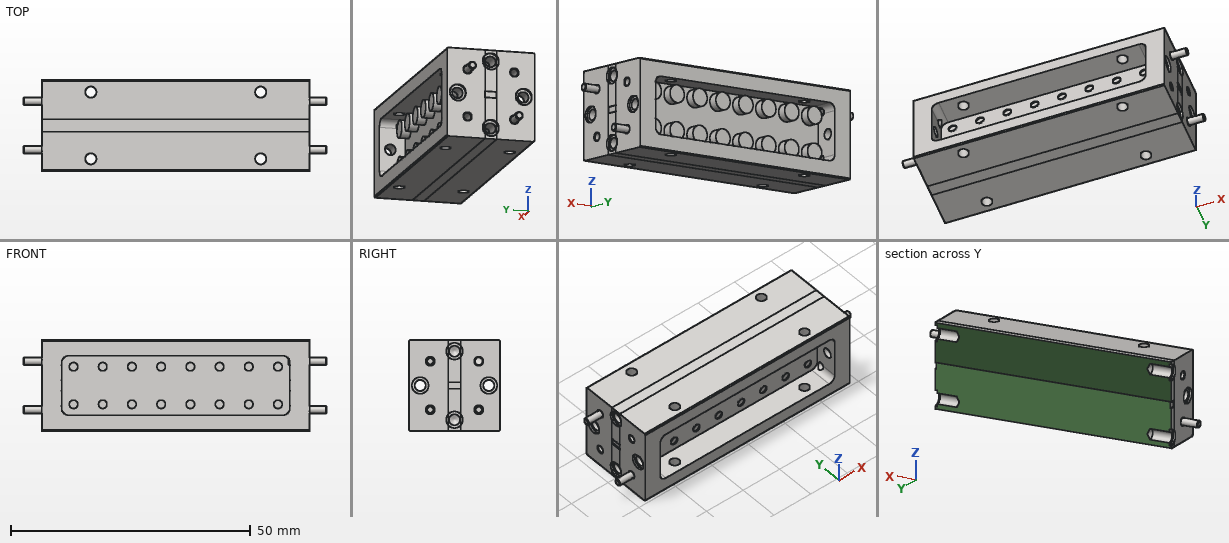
import cadquery as cq

BODY_LENGTH = 55.95
BODY_SIDE = 19.1
SHIM_THICKNESS = 2.55
EDGE_CHAMFER = 0.25
HALF_LENGTH = BODY_LENGTH / 2
HALF_SIDE = BODY_SIDE / 2

PORT_HEIGHT = 1.3
PORT_DEPTH = 0.25

POCKET_LENGTH = 47.7
POCKET_HEIGHT = 12.4
POCKET_DEPTH = 5.65
POCKET_CORNER_RADIUS = 1.5
POCKET_FLOOR = HALF_SIDE - POCKET_DEPTH
END_WALL = (BODY_LENGTH - POCKET_LENGTH) / 2

SCREW_COUNT = 8
SCREW_ROW_LENGTH = 42.7
SCREW_PITCH = SCREW_ROW_LENGTH / (SCREW_COUNT - 1)
SCREW_ROW_HEIGHT = 3.9
SCREW_BOSS_DIAMETER = 3.8
SCREW_BOSS_HEIGHT = 2.0
SCREW_HOLE_DIAMETER = 1.8
SCREW_HOLE_DEPTH = 0.25

MOUNT_HOLE_DIAMETER = 2.3
MOUNT_HOLE_X = 17.75
MOUNT_HOLE_Y = 7.0

FLANGE_HOLE_DIAMETER = 2.3
FLANGE_HOLE_OFFSET = 7.15
FLANGE_HOLE_DEPTH = 5.1
FLANGE_TIP_DEPTH = 0.65
FLANGE_RECESS_DIAMETER = 3.5
FLANGE_RECESS_DEPTH = 0.5

PIN_DIAMETER = 1.6
PIN_LENGTH = 8.0
PIN_CHAMFER = 0.16
PIN_OFFSET = 5.1
PIN_HOLE_CHAMFER = 0.16
LEFT_PIN_PROJECTION = 3.85
RIGHT_PIN_PROJECTION = 3.55

SIGNS = (-1, 1)


def box_between(x_range, y_range, z_range):
    """Axis-aligned box given by its low and high limit on each axis."""
    lows, highs = zip(x_range, y_range, z_range)
    size = [high - low for low, high in zip(lows, highs)]
    return cq.Workplane("XY").box(*size, centered=False).translate(lows)


def round_bar(x, y, z, diameter, length, direction):
    """Solid cylinder that starts at (x, y, z) and runs along the direction."""
    start = cq.Vector(x, y, z)
    return cq.Workplane(cq.Solid.makeCylinder(diameter / 2, length, start, cq.Vector(*direction)))


def cone_bar(x, y, z, start_diameter, end_diameter, length, direction):
    """Solid cone frustum that starts at (x, y, z) and runs along the direction."""
    start = cq.Vector(x, y, z)
    axis = cq.Vector(*direction)
    return cq.Workplane(cq.Solid.makeCone(start_diameter / 2, end_diameter / 2, length, start, axis))


def flange_hole(end, y, z):
    """Cutter for one drilled flange hole with a conical tip and a shallow recess around its mouth."""
    mouth = end * HALF_LENGTH
    inward = (-end, 0, 0)
    bore = round_bar(mouth, y, z, FLANGE_HOLE_DIAMETER, FLANGE_HOLE_DEPTH, inward)
    tip_start = mouth - end * FLANGE_HOLE_DEPTH
    tip = cone_bar(tip_start, y, z, FLANGE_HOLE_DIAMETER, 0, FLANGE_TIP_DEPTH, inward)
    recess = round_bar(mouth, y, z, FLANGE_RECESS_DIAMETER, FLANGE_RECESS_DEPTH, inward)
    return bore.union(tip).union(recess)


def cut_middle_flange_holes(body):
    """Flange holes centred on the shim, above and below the waveguide port."""
    for end in SIGNS:
        for level in SIGNS:
            body = body.cut(flange_hole(end, 0, level * FLANGE_HOLE_OFFSET))
    return body


def pin_hole(end, y, z):
    """Cutter for a pin hole, chamfered at its mouth, from the end face past the corner round of the pocket."""
    mouth = end * HALF_LENGTH
    inward = (-end, 0, 0)
    bore = round_bar(mouth, y, z, PIN_DIAMETER, END_WALL + POCKET_CORNER_RADIUS, inward)
    mouth_diameter = PIN_DIAMETER + 2 * PIN_HOLE_CHAMFER
    chamfer = cone_bar(mouth, y, z, mouth_diameter, PIN_DIAMETER, PIN_HOLE_CHAMFER, inward)
    return bore.union(chamfer)


def screw_positions():
    """(x, z) places of the screws, in two rows along the pocket floor."""
    return [
        (index * SCREW_PITCH - SCREW_ROW_LENGTH / 2, row * SCREW_ROW_HEIGHT)
        for row in SIGNS
        for index in range(SCREW_COUNT)
    ]


def housing_half(side):
    """Housing half on the given side (-1 or +1) of the shim, without its screw features."""
    y_range = sorted((side * SHIM_THICKNESS / 2, side * HALF_SIDE))
    half = box_between((-HALF_LENGTH, HALF_LENGTH), y_range, (-HALF_SIDE, HALF_SIDE))
    outer_face = "<Y" if side < 0 else ">Y"
    half = half.faces(outer_face).edges("|X").chamfer(EDGE_CHAMFER)

    pocket_y = sorted((side * POCKET_FLOOR, side * HALF_SIDE))
    pocket = box_between(
        (-POCKET_LENGTH / 2, POCKET_LENGTH / 2), pocket_y, (-POCKET_HEIGHT / 2, POCKET_HEIGHT / 2)
    )
    half = half.cut(pocket.edges("|Y").fillet(POCKET_CORNER_RADIUS))

    for end in SIGNS:
        mount_x = end * MOUNT_HOLE_X
        mount_y = side * MOUNT_HOLE_Y
        half = half.cut(round_bar(mount_x, mount_y, -HALF_SIDE, MOUNT_HOLE_DIAMETER, BODY_SIDE, (0, 0, 1)))
        half = half.cut(flange_hole(end, side * FLANGE_HOLE_OFFSET, 0))
        for level in SIGNS:
            half = half.cut(pin_hole(end, side * PIN_OFFSET, level * PIN_OFFSET))
    return cut_middle_flange_holes(half)


def front_housing():
    """Half on the -Y side, with a shallow blind hole at each screw position."""
    half = housing_half(-1)
    for x, z in screw_positions():
        half = half.cut(round_bar(x, -POCKET_FLOOR, z, SCREW_HOLE_DIAMETER, SCREW_HOLE_DEPTH, (0, 1, 0)))
    return half


def back_housing():
    """Half on the +Y side, with a round boss at each screw position."""
    half = housing_half(1)
    for x, z in screw_positions():
        half = half.union(round_bar(x, POCKET_FLOOR, z, SCREW_BOSS_DIAMETER, SCREW_BOSS_HEIGHT, (0, 1, 0)))
    return half


def shim(z_low, z_high):
    """Full-length strip between the housing halves."""
    y_range = (-SHIM_THICKNESS / 2, SHIM_THICKNESS / 2)
    strip = box_between((-HALF_LENGTH, HALF_LENGTH), y_range, (z_low, z_high))
    return cut_middle_flange_holes(strip)


def upper_shim():
    """Plain strip from the top of the waveguide port to the top of the block."""
    return shim(PORT_HEIGHT / 2, HALF_SIDE)


def lower_shim():
    """Lower strip, whose top stretch is set back at both ends to form the waveguide ports."""
    strip = shim(-HALF_SIDE, PORT_HEIGHT / 2)
    port = cq.Workplane("XY").box(2 * PORT_DEPTH, SHIM_THICKNESS, PORT_HEIGHT)
    for end in SIGNS:
        strip = strip.cut(port.translate((end * HALF_LENGTH, 0, 0)))
    return strip


def pin(end, y, z):
    """Chamfered alignment pin standing out of the given end."""
    projection = LEFT_PIN_PROJECTION if end < 0 else RIGHT_PIN_PROJECTION
    outer_x = end * (HALF_LENGTH + projection)
    bar = round_bar(outer_x, y, z, PIN_DIAMETER, PIN_LENGTH, (-end, 0, 0))
    return bar.faces("<X or >X").edges().chamfer(PIN_CHAMFER)


pins = []
for end in SIGNS:
    for side in SIGNS:
        pins.append(pin(end, side * PIN_OFFSET, -end * side * PIN_OFFSET))

bodies = [front_housing(), back_housing(), upper_shim(), lower_shim(), *pins]
result = cq.Compound.makeCompound([body.solids().val() for body in bodies])